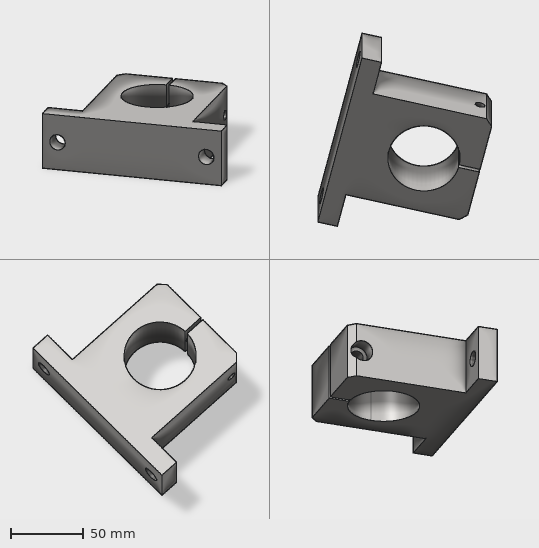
import cadquery as cq

base_length = 130.0
depth = 100.0
height = 40.0
base_thickness = 14.0
body_width = 80.0
corner_chamfer = 5.0

bore_diameter = 50.0
bore_y = 60.0
slit_width = 2.1

mount_hole_diameter = 11.0
mount_hole_spacing = 108.0

screw_y = 90.5
screw_head_diameter = 15.0
screw_head_depth = 11.0
screw_clearance_diameter = 9.0
screw_thread_diameter = 6.8

mid_height = height / 2


def box_on_floor(width, length):
    """Full-height block centred on X, with its front face at Y = 0."""
    return cq.Workplane("XY").box(width, length, height, centered=(True, False, False))


def hole_along_x(diameter, start_x, length):
    """Cylinder on the clamp screw axis, running towards +X."""
    return (
        cq.Workplane("YZ", origin=(start_x, screw_y, mid_height))
        .circle(diameter / 2)
        .extrude(length)
    )


body = box_on_floor(body_width, depth).edges("|Z and >Y").chamfer(corner_chamfer)
result = body.union(box_on_floor(base_length, base_thickness))

bore = cq.Workplane("XY").center(0, bore_y).circle(bore_diameter / 2).extrude(height)
slit = box_on_floor(slit_width, depth - bore_y).translate((0, bore_y, 0))
result = result.cut(bore).cut(slit)

for side in (-1, 1):
    mount_hole = (
        cq.Workplane("XZ", origin=(side * mount_hole_spacing / 2, 0, mid_height))
        .circle(mount_hole_diameter / 2)
        .extrude(-base_thickness)
    )
    result = result.cut(mount_hole)

left_face_x = -body_width / 2
result = result.cut(hole_along_x(screw_head_diameter, left_face_x, screw_head_depth))
result = result.cut(hole_along_x(screw_clearance_diameter, left_face_x, body_width / 2))
result = result.cut(hole_along_x(screw_thread_diameter, left_face_x, body_width))